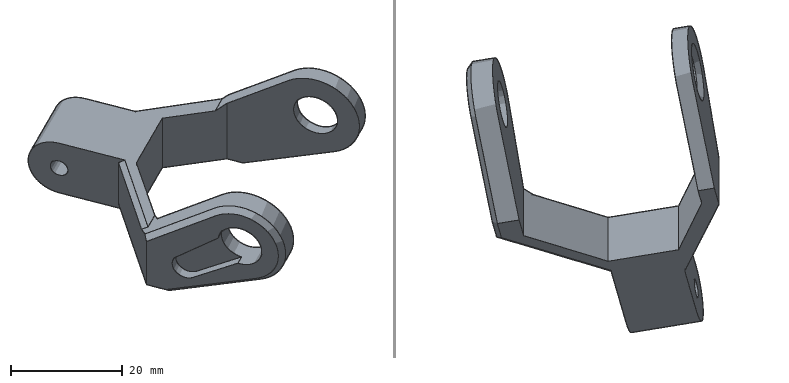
import cadquery as cq
import math

length = 56.5
width = 41.0

pivot_radius = 6.0
pivot_hole_diameter = 3.4
block_end_x = 20.9
block_width = 13.0
block_front_y = 18.6
block_back_y = block_front_y + block_width
block_height = 2 * pivot_radius

eye_radius = 8.5
eye_hole_diameter = 8.5
countersink_diameter = 10.5
eye_x = length - eye_radius
eye_z = 16.05

upper_bend_x = 29.1
lower_bend_x = 34.0

front_thickness = 5.0
back_thickness = 3.0
outer_bend_x = 30.0
front_inner_bend_x = 30.15
back_inner_bend_x = 30.9
front_root_x = 17.45
back_root_x = 15.7
edge_chamfer = 1.0
tolerance = 0.001

recess_tip_x = 37.5
recess_tip_z = 7.7
recess_tip_radius = 2.55
recess_hub_radius = 3.2
recess_depth = 1.8


def tangent_point(x, z, side):
    """Point where a line from (x, z) touches the eye; side is +1 above, -1 below."""
    dx = x - eye_x
    dz = z - eye_z
    angle = math.atan2(dz, dx) - side * math.acos(eye_radius / math.hypot(dx, dz))
    return eye_x + eye_radius * math.cos(angle), eye_z + eye_radius * math.sin(angle)


def along_y(solid_width, start_y=0.0):
    """Make a sketch plane whose extrusions of solid_width run toward +Y from start_y."""
    return cq.Workplane("XZ", origin=(0, start_y + solid_width, 0))


def side_profile():
    upper_touch = tangent_point(upper_bend_x, block_height, 1)
    lower_touch = tangent_point(lower_bend_x, 0, -1)
    return (
        along_y(width)
        .moveTo(pivot_radius, 0)
        .lineTo(lower_bend_x, 0)
        .lineTo(*lower_touch)
        .threePointArc((length, eye_z), upper_touch)
        .lineTo(upper_bend_x, block_height)
        .lineTo(pivot_radius, block_height)
        .threePointArc((0, pivot_radius), (pivot_radius, 0))
        .close()
        .extrude(width)
    )


def limb(plan_points):
    """Cut the part of the side profile that lies within a plan outline."""
    plan = cq.Workplane("XY").polyline(plan_points).close().extrude(eye_z + eye_radius)
    return side_profile().intersect(plan)


def pivot_block():
    return limb([
        (0, block_front_y),
        (block_end_x, block_front_y),
        (block_end_x, block_back_y),
        (0, block_back_y),
    ])


def back_arm():
    inner_y = width - back_thickness
    return limb([
        (back_root_x, block_back_y),
        (block_end_x, block_back_y),
        (back_inner_bend_x, inner_y),
        (length, inner_y),
        (length, width),
        (outer_bend_x, width),
    ])


def front_arm():
    arm = limb([
        (front_root_x, block_front_y),
        (outer_bend_x, 0),
        (length, 0),
        (length, front_thickness),
        (front_inner_bend_x, front_thickness),
        (block_end_x, block_front_y),
    ])
    splay_normal = cq.Vector(-block_front_y, front_root_x - outer_bend_x, 0).normalized()
    front_normal = cq.Vector(0, -1, 0)
    short_rise = 2 * edge_chamfer
    outer_faces = [
        face for face in arm.faces("#Z").vals()
        if any((face.normalAt() - normal).Length < tolerance for normal in (splay_normal, front_normal))
    ]
    rim = [
        edge for edge in arm.newObject(outer_faces).edges("not |Z").vals()
        if edge.Length() > short_rise
    ]
    return arm.newObject(rim).chamfer(edge_chamfer)


def round_hole(x, z, diameter):
    return along_y(width).center(x, z).circle(diameter / 2).extrude(width)


def countersink():
    """Cone that opens the back eye toward its outer face at 45 degrees."""
    depth = (countersink_diameter - eye_hole_diameter) / 2
    mouth = along_y(depth, width - depth).center(eye_x, eye_z).circle(countersink_diameter / 2)
    return mouth.extrude(depth, taper=45)


def recess():
    """Two round ends joined by their common tangents."""
    dx = eye_x - recess_tip_x
    dz = eye_z - recess_tip_z
    direction = math.atan2(dz, dx)
    spread = math.acos((recess_tip_radius - recess_hub_radius) / math.hypot(dx, dz))

    def rim_point(x, z, radius, angle):
        return x + radius * math.cos(angle), z + radius * math.sin(angle)

    tip = (recess_tip_x, recess_tip_z, recess_tip_radius)
    hub = (eye_x, eye_z, recess_hub_radius)
    return (
        along_y(recess_depth)
        .moveTo(*rim_point(*tip, direction + spread))
        .threePointArc(rim_point(*tip, direction + math.pi), rim_point(*tip, direction - spread))
        .lineTo(*rim_point(*hub, direction - spread))
        .threePointArc(rim_point(*hub, direction), rim_point(*hub, direction + spread))
        .close()
        .extrude(recess_depth)
    )


result = (
    pivot_block()
    .union(back_arm())
    .union(front_arm())
    .cut(round_hole(pivot_radius, pivot_radius, pivot_hole_diameter))
    .cut(round_hole(eye_x, eye_z, eye_hole_diameter))
    .cut(countersink())
    .cut(recess())
)